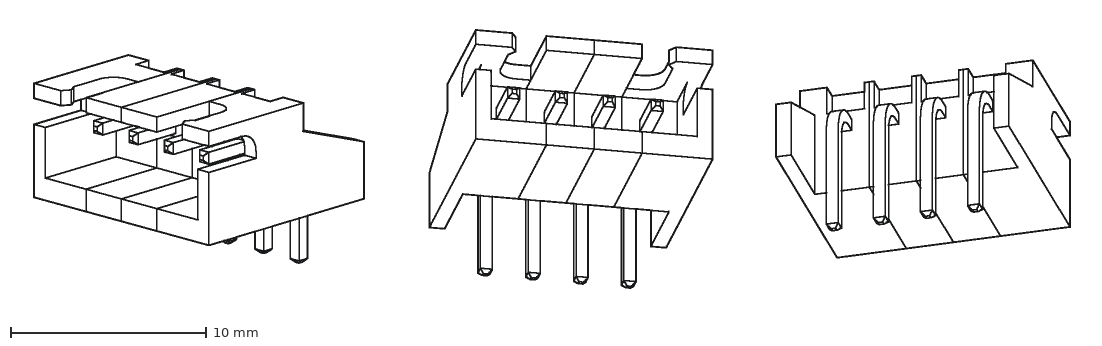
import cadquery as cq

POLES = 4
LENGTH = 12.4
PITCH = 2.5
HEIGHT = 6.1
DEPTH = 7.0
ARM_REACH = 11.5

ROOF = 0.8
FLOOR = 1.2
SIDE_WALL = 0.8
CAVITY_TOP = HEIGHT - ROOF
CAVITY_MID = (FLOOR + CAVITY_TOP) / 2

UPPER_WALL_Y = 5.0
LOWER_WALL_SETBACK = 0.25
LOWER_WALL_Y = UPPER_WALL_Y + LOWER_WALL_SETBACK

ARM_START_Z = HEIGHT * 3 / 4
ARM_END_Z = HEIGHT / 2
SLOPE = (ARM_START_Z - ARM_END_Z) / (ARM_REACH - DEPTH)

WINDOW_WIDTH = 2.0
WINDOW_DEPTH = 0.97

OPENING_RADIUS = 1.0
LATCH_EDGE = 1.9
LATCH_DEPTH = 3.87
BARB_HEIGHT = 0.3
BARB_HALF_LENGTH = 0.48
SLOT_DEPTH = 3.48
SLOT_BOTTOM_Z = 3.9

PIN_SIZE = 0.63
PIN_Z = 3.75
PIN_FRONT_Y = 2.01
PIN_REAR_Y = 9.54
PIN_BOTTOM_Z = -3.4
PIN_BEND_RADIUS = 1.91
PIN_TIP_CHAMFER = 0.2


def block(x_range, y_range, z_range):
    """Axis-aligned box given by its limits."""
    spans = [high - low for low, high in (x_range, y_range, z_range)]
    return cq.Workplane("XY").box(*spans, centered=False).translate((x_range[0], y_range[0], z_range[0]))


def extrude_along_x(outline, x_range):
    """Prism from a YZ outline between two X positions."""
    return outline.extrude(x_range[1] - x_range[0]).translate((x_range[0], 0, 0))


def slope_z(y):
    """Height of the sloped rear plane at a given Y."""
    return ARM_START_Z - SLOPE * (y - DEPTH)


def pin(x):
    """Square contact bent down at the rear, with both tips chamfered."""
    top = PIN_Z + PIN_SIZE / 2
    elbow = (
        cq.Workplane("YZ")
        .moveTo(PIN_FRONT_Y, top)
        .lineTo(PIN_REAR_Y, top)
        .lineTo(PIN_REAR_Y, PIN_BOTTOM_Z)
        .lineTo(PIN_REAR_Y - PIN_SIZE, PIN_BOTTOM_Z)
        .lineTo(PIN_REAR_Y - PIN_SIZE, top - PIN_SIZE)
        .lineTo(PIN_FRONT_Y, top - PIN_SIZE)
        .close()
    )
    body = extrude_along_x(elbow, (x - PIN_SIZE / 2, x + PIN_SIZE / 2))
    body = body.faces("<Y or <Z").chamfer(PIN_TIP_CHAMFER)
    outer_corner = cq.selectors.NearestToPointSelector((x, PIN_REAR_Y, top))
    inner_corner = cq.selectors.NearestToPointSelector((x, PIN_REAR_Y - PIN_SIZE, top - PIN_SIZE))
    body = body.edges(outer_corner).fillet(PIN_BEND_RADIUS)
    return body.edges(inner_corner).fillet(PIN_BEND_RADIUS - PIN_SIZE)


def window(x):
    """Notch in the top rear edge with a sloped floor."""
    start = DEPTH - WINDOW_DEPTH
    outline = cq.Workplane("YZ").polyline(
        [(start, slope_z(start)), (DEPTH, slope_z(DEPTH)), (DEPTH, HEIGHT), (start, HEIGHT)]
    ).close()
    return extrude_along_x(outline, (x - WINDOW_WIDTH / 2, x + WINDOW_WIDTH / 2))


def housing_section(x_range, pin_x):
    """Housing of one module: C-shaped profile with a rear window."""
    body = block(x_range, (0, DEPTH), (0, HEIGHT))
    body = body.cut(block(x_range, (0, UPPER_WALL_Y), (CAVITY_MID, CAVITY_TOP)))
    body = body.cut(block(x_range, (0, LOWER_WALL_Y), (FLOOR, CAVITY_MID)))
    return body.cut(window(pin_x))


def inner_module(pin_x):
    """Module between the two end modules."""
    return housing_section((pin_x - PITCH / 2, pin_x + PITCH / 2), pin_x).union(pin(pin_x))


def side_wall(x_range):
    """Side wall with a slot open to the front and an arm sloping down to the rear."""
    outline = cq.Workplane("YZ").polyline(
        [(0, 0), (ARM_REACH, 0), (ARM_REACH, ARM_END_Z), (DEPTH, ARM_START_Z), (DEPTH, HEIGHT), (0, HEIGHT)]
    ).close()
    slot = block(x_range, (0, SLOT_DEPTH), (SLOT_BOTTOM_Z, CAVITY_TOP))
    slot = slot.edges(">Y and >Z").fillet(OPENING_RADIUS)
    return extrude_along_x(outline, x_range).cut(slot)


def latch_opening(outer_x, seam_x):
    """Roof opening from the seam, with a rounded corner and a barb near the front."""
    edge_x = outer_x + LATCH_EDGE
    barb_length = 2 * BARB_HALF_LENGTH
    opening = (
        cq.Workplane("XY", origin=(0, 0, CAVITY_TOP))
        .moveTo(edge_x, 0)
        .lineTo(edge_x + BARB_HEIGHT, BARB_HALF_LENGTH)
        .lineTo(edge_x, barb_length)
        .lineTo(edge_x, LATCH_DEPTH - OPENING_RADIUS)
        .radiusArc((edge_x + OPENING_RADIUS, LATCH_DEPTH), OPENING_RADIUS)
        .lineTo(seam_x, LATCH_DEPTH)
        .lineTo(seam_x, 0)
        .close()
    )
    return opening.extrude(ROOF)


def left_end_module(pin_x):
    """End module on the -X side, closed by a side wall."""
    outer_x = -LENGTH / 2
    seam_x = pin_x + PITCH / 2
    body = housing_section((outer_x, seam_x), pin_x)
    body = body.union(side_wall((outer_x, outer_x + SIDE_WALL)))
    body = body.cut(latch_opening(outer_x, seam_x))
    return body.union(pin(pin_x))


pin_places = [(index - (POLES - 1) / 2) * PITCH for index in range(POLES)]
left_end = left_end_module(pin_places[0])
right_end = left_end.mirror("YZ")
inner_modules = [inner_module(x) for x in pin_places[1:-1]]

result = cq.Compound.makeCompound(
    [left_end.val(), *[body.val() for body in inner_modules], right_end.val()]
)